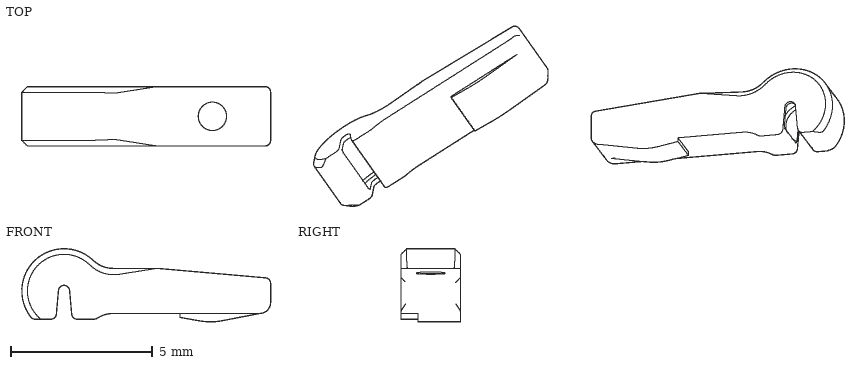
import cadquery as cq
import math

head_radius = 1.5
heel_depth = 1.0
half_height = 0.8
arm_end = 7.3
neck_radius = 1.0
crease_x = 3.3
top_slope = math.radians(5)
tip_top_round = 0.2
tip_bottom_round = 0.4
heel_round = 0.2

width = 2.1
tip_corner_round = 0.2

bevel = 0.2
bevel_slope = math.radians(9)

slot_radius = 0.19
slot_flare = math.radians(5)

chamber_radius = 0.75
chamber_width = 1.78
chamber_end_bevel = 0.1

bump_start = 4.09
bump_depth = 1.1
bump_radius = 2.0
bump_front_slope = math.radians(10)
bump_back_slope = math.radians(11)
bump_width = 1.505

mark_x = 5.245
mark_radius = 0.5
mark_depth = 0.05

half_width = width / 2
margin = 0.88


def polar(radius, angle, centre=(0, 0)):
    return (centre[0] + radius * math.cos(angle), centre[1] + radius * math.sin(angle))


def side_sketch(y):
    """Side-profile workplane at the given y; sketches extrude towards -Y."""
    return cq.Workplane("XZ", origin=(0, y, 0))


def top_height(x):
    return half_height - (x - crease_x) * math.tan(top_slope)


def make_body():
    neck_reach = head_radius + neck_radius
    neck_z = half_height + neck_radius
    neck_x = math.sqrt(neck_reach**2 - neck_z**2)
    neck_angle = math.atan2(neck_z, neck_x)
    heel_left = -math.sqrt(head_radius**2 - heel_depth**2)
    heel_right_angle = math.asin((neck_z - heel_depth) / neck_radius)
    heel_right_middle = (heel_right_angle + math.pi / 2) / 2
    lower_neck = (neck_x, -neck_z)

    body = (
        side_sketch(half_width)
        .moveTo(heel_left, -heel_depth)
        .threePointArc(polar(head_radius, math.radians(135)), polar(head_radius, neck_angle))
        .threePointArc(
            polar(neck_radius, (neck_angle + math.pi + 1.5 * math.pi) / 2, (neck_x, neck_z)),
            (neck_x, half_height),
        )
        .lineTo(crease_x, half_height)
        .lineTo(arm_end, top_height(arm_end))
        .lineTo(arm_end, -half_height)
        .lineTo(neck_x, -half_height)
        .threePointArc(
            polar(neck_radius, math.pi - heel_right_middle, lower_neck),
            polar(neck_radius, math.pi - heel_right_angle, lower_neck),
        )
        .close()
        .extrude(width)
    )
    body = body.faces(">X").edges(">Z").fillet(tip_top_round)
    return body.faces(">X").edges("<Z").fillet(tip_bottom_round)


def make_slot():
    shoulder = polar(slot_radius, slot_flare)
    foot_z = -heel_depth - margin
    foot_x = shoulder[0] + (shoulder[1] - foot_z) * math.tan(slot_flare)
    return (
        side_sketch(half_width)
        .moveTo(-foot_x, foot_z)
        .lineTo(-shoulder[0], shoulder[1])
        .threePointArc((0, slot_radius), shoulder)
        .lineTo(foot_x, foot_z)
        .close()
        .extrude(width)
    )


def make_bevel_envelope():
    """Body limit that widens at 45 degrees from each side face towards the middle."""
    round_radius = head_radius - bevel
    hollow_radius = neck_radius + bevel
    offset = half_height * math.cos(bevel_slope) - crease_x * math.sin(bevel_slope) + hollow_radius
    along = math.sqrt((round_radius + hollow_radius) ** 2 - offset**2)
    touch_angle = math.atan2(offset, along) + bevel_slope
    hollow = polar(round_radius + hollow_radius, touch_angle)
    hollow_start = touch_angle + math.pi
    hollow_end = 1.5 * math.pi + bevel_slope
    far_x = arm_end + margin
    far_z = half_height + (far_x - crease_x) * math.tan(bevel_slope)
    half = (
        side_sketch(-half_width)
        .moveTo(0, -round_radius)
        .threePointArc((-round_radius, 0), polar(round_radius, touch_angle))
        .threePointArc(
            polar(hollow_radius, (hollow_start + hollow_end) / 2, hollow),
            polar(hollow_radius, hollow_end, hollow),
        )
        .lineTo(far_x, far_z)
        .lineTo(far_x, -round_radius)
        .close()
        .extrude(-half_width, taper=-45)
    )
    return half.union(half.mirror("XZ"))


def make_plan_envelope():
    """Plan limit that rounds the two upright corners at the tip."""
    length = head_radius + arm_end
    return (
        cq.Workplane("XY", origin=(arm_end - length / 2, 0, 0))
        .box(length, width, 2 * (head_radius + margin))
        .edges("|Z and >X")
        .fillet(tip_corner_round)
    )


def make_bump():
    back_x = arm_end - tip_bottom_round
    centre_z = bump_radius - bump_depth
    back = polar(bump_radius, bump_back_slope - math.pi / 2)
    front = polar(bump_radius, -bump_front_slope - math.pi / 2)
    back_z = centre_z + back[1]
    front_z = centre_z + front[1]
    centre_x = back_x - (-half_height - back_z) / math.tan(bump_back_slope) - back[0]
    front_x = centre_x + front[0]
    start_z = front_z + (front_x - bump_start) * math.tan(bump_front_slope)
    return (
        side_sketch(half_width)
        .moveTo(bump_start, 0)
        .lineTo(bump_start, start_z)
        .lineTo(front_x, front_z)
        .threePointArc((centre_x, -bump_depth), (centre_x + back[0], back_z))
        .lineTo(back_x, -half_height)
        .lineTo(back_x, 0)
        .close()
        .extrude(bump_width)
    )


def make_chamber():
    chamber = side_sketch(chamber_width / 2).circle(chamber_radius).extrude(chamber_width)
    return chamber.faces("<Y or >Y").chamfer(chamber_end_bevel)


def make_mark():
    """Disc square to the sloping top, sunk by the mark depth."""
    normal = (math.sin(top_slope), 0, math.cos(top_slope))
    top_plane = cq.Plane(origin=(mark_x, 0, top_height(mark_x)), xDir=(0, 1, 0), normal=normal)
    return cq.Workplane(top_plane).circle(mark_radius).extrude(-mark_depth)


result = make_body().cut(make_slot())
result = result.faces("<Z").edges("|Y").fillet(heel_round)
result = result.intersect(make_bevel_envelope()).intersect(make_plan_envelope())
result = result.union(make_bump())
result = result.cut(make_chamber()).cut(make_mark())